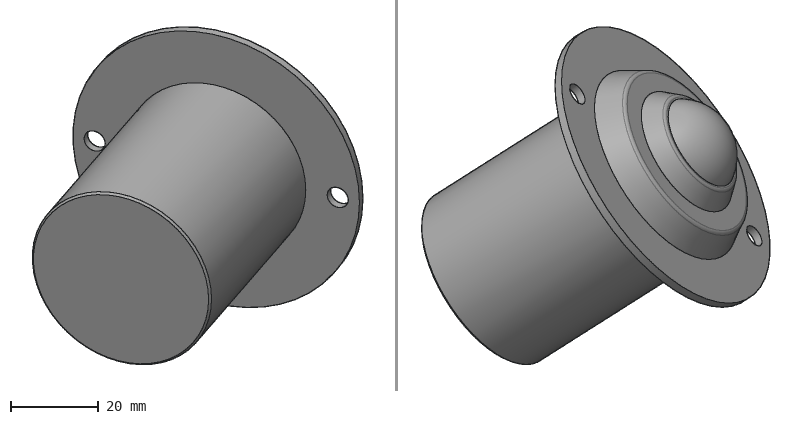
import cadquery as cq

overall_length = 72.2
body_length = 52.85
body_radius = 22.3
body_chamfer = 0.5

flange_radius = 35.7
flange_thickness = 2.0
hole_diameter = 5.2
hole_offset = 30.25

lower_cone_base_radius = 24.4
lower_cone_top_radius = 21.0
lower_cone_height = 6.35
upper_cone_base_radius = 15.5
upper_cone_top_radius = 12.3
upper_cone_height = 4.4
edge_round = 1.1

ball_radius = 13.0

shoulder_y = flange_thickness + lower_cone_height
rim_y = shoulder_y + upper_cone_height
ball_center_y = overall_length - body_length - ball_radius


def make_ball():
    return cq.Workplane("XY").sphere(ball_radius).translate((0, ball_center_y, 0))


def revolved_housing():
    """Body, flange and stepped conical cap as one revolved solid."""
    return (
        cq.Workplane("XY")
        .moveTo(0, -body_length)
        .lineTo(body_radius - body_chamfer, -body_length)
        .lineTo(body_radius, -body_length + body_chamfer)
        .lineTo(body_radius, 0)
        .lineTo(flange_radius, 0)
        .lineTo(flange_radius, flange_thickness)
        .lineTo(lower_cone_base_radius, flange_thickness)
        .lineTo(lower_cone_top_radius, shoulder_y)
        .lineTo(upper_cone_base_radius, shoulder_y)
        .lineTo(upper_cone_top_radius, rim_y)
        .lineTo(0, rim_y)
        .close()
        .revolve(360, (0, 0, 0), (0, 1, 0))
    )


def round_cap_edge(housing, radius, y):
    """Round the circular cap edge of the given radius at position y."""
    near_edge = cq.selectors.BoxSelector(
        (-radius - edge_round, y - edge_round / 2, -radius - edge_round),
        (radius + edge_round, y + edge_round / 2, radius + edge_round),
        boundingbox=True,
    )
    outermost = cq.selectors.RadiusNthSelector(-1)
    return housing.edges(near_edge).edges("%CIRCLE").edges(outermost).fillet(edge_round)


def make_housing(ball):
    housing = revolved_housing()
    housing = round_cap_edge(housing, lower_cone_top_radius, shoulder_y)
    housing = round_cap_edge(housing, upper_cone_top_radius, rim_y)

    holes = (
        cq.Workplane("XZ")
        .pushPoints([(-hole_offset, 0), (hole_offset, 0)])
        .circle(hole_diameter / 2)
        .extrude(-flange_thickness)
    )

    return housing.cut(holes).cut(ball)


ball = make_ball()
housing = make_housing(ball)

result = cq.Compound.makeCompound([housing.val(), ball.val()])